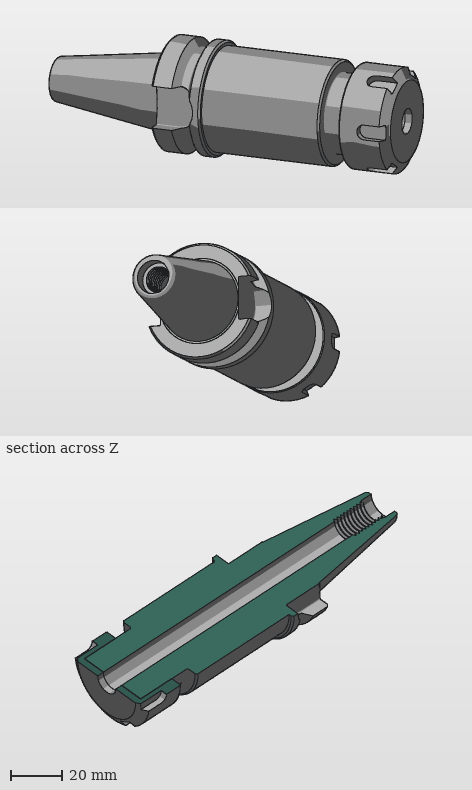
import cadquery as cq
import math


TAPER_RATE = 7 / 24
GAUGE_DIAMETER = 31.75
SHANK_LENGTH = 48.4
SHANK_TIP_RADIUS = 1.5

FLANGE_DIAMETER = 46.0
FLANGE_FACE_X = 0.8
FLANGE_END_X = 22.0
FLANGE_CHAMFER = 0.8
RELIEF_DIAMETER = 33.72
RELIEF_DEPTH = 0.2

GROOVE_CENTRE_X = 13.45
GROOVE_FLOOR_DIAMETER = 38.2
GROOVE_FLOOR_WIDTH = 3.5
GROOVE_FILLET = 0.5
GROOVE_FLANK_ANGLE = 30.0

KEYWAY_WIDTH = 17.0
KEYWAY_END_X = 19.0
KEYWAY_FLOOR_OFFSET = 16.3
KEYWAY_FILLET = 0.5

BODY_DIAMETER = 42.0
BODY_END_X = 71.7
BODY_CHAMFER = 0.8
NECK_DIAMETER = 32.0
NECK_FILLET = 0.5

NUT_START_X = 80.0
NUT_END_X = 100.0
NUT_DIAMETER = BODY_DIAMETER
NUT_BACK_CHAMFER = 0.4
NUT_NOSE_LENGTH = 2.9
NUT_NOSE_ANGLE = 60.0
NUT_NOSE_EDGE_CHAMFER = 0.4
NUT_FACE_THICKNESS = 3.0

SLOT_COUNT = 6
SLOT_WIDTH = 6.0
SLOT_START_X = 87.8
SLOT_FLOOR_OFFSET = 18.0

BORE_DIAMETER = 10.11
COUNTERBORE_DIAMETER = 13.1
COUNTERBORE_DEPTH = 5.5
THREAD_DIAMETER = 12.5
THREAD_PITCH = 1.75
THREAD_TURNS = 9
THREAD_FLANK_ANGLE = 30.0

SHANK_TIP_X = -SHANK_LENGTH
NECK_END_X = NUT_END_X - NUT_FACE_THICKNESS


def taper_radius(x):
    """Radius of the steep taper at a place along the axis."""
    return (GAUGE_DIAMETER + TAPER_RATE * x) / 2


def revolve_about_x(profile):
    """Turn a closed profile of (x, radius) about the X axis."""
    return profile.revolve(360, (0, 0, 0), (1, 0, 0))


def cylinder_along_x(diameter, start_x, end_x):
    disc = cq.Workplane("YZ").workplane(offset=start_x).circle(diameter / 2)
    return disc.extrude(end_x - start_x)


def round_ended_slot_cutter(start_x, end_x, width, floor_offset, outer_radius):
    """Cutter on the +Y side with a flat floor, a full round end at start_x and an open end at end_x."""
    direction = math.copysign(1, end_x - start_x)
    half_width = width / 2
    centre_x = start_x + direction * half_width
    outline = (
        cq.Workplane("XZ", origin=(0, floor_offset, 0))
        .moveTo(end_x, half_width)
        .lineTo(centre_x, half_width)
        .threePointArc((start_x, 0), (centre_x, -half_width))
        .lineTo(end_x, -half_width)
        .close()
    )
    return outline.extrude(-(outer_radius - floor_offset))


def groove_floor_edges():
    """Selector for the two circles where the V groove flanks meet its floor."""
    margin = 0.1
    half_length = GROOVE_FLOOR_WIDTH / 2 + margin
    half_height = GROOVE_FLOOR_DIAMETER / 2 + margin
    low_corner = (GROOVE_CENTRE_X - half_length, -half_height, -half_height)
    high_corner = (GROOVE_CENTRE_X + half_length, half_height, half_height)
    return cq.selectors.BoxSelector(low_corner, high_corner, boundingbox=True)


def make_holder_blank():
    flange_radius = FLANGE_DIAMETER / 2
    groove_radius = GROOVE_FLOOR_DIAMETER / 2
    body_radius = BODY_DIAMETER / 2
    relief_radius = RELIEF_DIAMETER / 2
    neck_radius = NECK_DIAMETER / 2

    floor_half = GROOVE_FLOOR_WIDTH / 2
    flank_run = (flange_radius - groove_radius) * math.tan(math.radians(GROOVE_FLANK_ANGLE))
    mouth_half = floor_half + flank_run
    relief_floor_x = FLANGE_FACE_X + RELIEF_DEPTH
    taper_angle = math.atan(TAPER_RATE / 2)
    tip_blend_x = SHANK_TIP_X + SHANK_TIP_RADIUS * (1 - math.sin(taper_angle))
    tip_flat_radius = taper_radius(tip_blend_x) - SHANK_TIP_RADIUS * math.cos(taper_angle)
    flange_step = flange_radius - FLANGE_CHAMFER

    profile = (
        cq.Workplane("XY")
        .moveTo(SHANK_TIP_X, 0)
        .lineTo(SHANK_TIP_X, tip_flat_radius)
        .radiusArc((tip_blend_x, taper_radius(tip_blend_x)), SHANK_TIP_RADIUS)
        .lineTo(relief_floor_x, taper_radius(relief_floor_x))
        .lineTo(relief_floor_x, relief_radius)
        .lineTo(FLANGE_FACE_X, relief_radius)
        .lineTo(FLANGE_FACE_X, flange_step)
        .lineTo(FLANGE_FACE_X + FLANGE_CHAMFER, flange_radius)
        .lineTo(GROOVE_CENTRE_X - mouth_half, flange_radius)
        .lineTo(GROOVE_CENTRE_X - floor_half, groove_radius)
        .lineTo(GROOVE_CENTRE_X + floor_half, groove_radius)
        .lineTo(GROOVE_CENTRE_X + mouth_half, flange_radius)
        .lineTo(FLANGE_END_X - FLANGE_CHAMFER, flange_radius)
        .lineTo(FLANGE_END_X, flange_step)
        .lineTo(FLANGE_END_X, body_radius)
        .lineTo(BODY_END_X - BODY_CHAMFER, body_radius)
        .lineTo(BODY_END_X, body_radius - BODY_CHAMFER)
        .lineTo(BODY_END_X, neck_radius + NECK_FILLET)
        .radiusArc((BODY_END_X + NECK_FILLET, neck_radius), -NECK_FILLET)
        .lineTo(NECK_END_X, neck_radius)
        .lineTo(NECK_END_X, 0)
        .close()
    )
    return revolve_about_x(profile).edges(groove_floor_edges()).fillet(GROOVE_FILLET)


def make_bore_cutter():
    """Through bore with a plain counterbore at the shank tip."""
    counterbore = cylinder_along_x(COUNTERBORE_DIAMETER, SHANK_TIP_X, SHANK_TIP_X + COUNTERBORE_DEPTH)
    return cylinder_along_x(BORE_DIAMETER, SHANK_TIP_X, NECK_END_X).union(counterbore)


def make_thread_groove(centre_x):
    """One ring-shaped V groove that stands for a turn of the pull stud thread."""
    bore_radius = BORE_DIAMETER / 2
    depth = (THREAD_DIAMETER - BORE_DIAMETER) / 2
    half_width = depth * math.tan(math.radians(THREAD_FLANK_ANGLE))
    profile = (
        cq.Workplane("XY")
        .moveTo(centre_x - half_width, 0)
        .lineTo(centre_x - half_width, bore_radius)
        .lineTo(centre_x, bore_radius + depth)
        .lineTo(centre_x + half_width, bore_radius)
        .lineTo(centre_x + half_width, 0)
        .close()
    )
    return revolve_about_x(profile)


def make_holder():
    holder = make_holder_blank()
    keyway = round_ended_slot_cutter(
        KEYWAY_END_X, SHANK_TIP_X, KEYWAY_WIDTH, KEYWAY_FLOOR_OFFSET, FLANGE_DIAMETER
    )
    keyway = keyway.faces("<Y").edges("not <X").fillet(KEYWAY_FILLET)
    holder = holder.cut(keyway).cut(keyway.mirror("XZ"))
    holder = holder.cut(make_bore_cutter())
    first_groove_x = SHANK_TIP_X + COUNTERBORE_DEPTH + THREAD_PITCH / 2
    for turn in range(THREAD_TURNS):
        holder = holder.cut(make_thread_groove(first_groove_x + turn * THREAD_PITCH))
    return holder


def make_nut():
    nut_radius = NUT_DIAMETER / 2
    nose_x = NUT_END_X - NUT_NOSE_LENGTH
    edge_x = NUT_END_X - NUT_NOSE_EDGE_CHAMFER
    nose_edge_radius = nut_radius - (edge_x - nose_x) * math.tan(math.radians(NUT_NOSE_ANGLE))
    profile = (
        cq.Workplane("XY")
        .moveTo(NUT_START_X, 0)
        .lineTo(NUT_START_X, nut_radius - NUT_BACK_CHAMFER)
        .lineTo(NUT_START_X + NUT_BACK_CHAMFER, nut_radius)
        .lineTo(nose_x, nut_radius)
        .lineTo(edge_x, nose_edge_radius)
        .lineTo(NUT_END_X, nose_edge_radius - NUT_NOSE_EDGE_CHAMFER)
        .lineTo(NUT_END_X, 0)
        .close()
    )
    nut = revolve_about_x(profile)
    nut = nut.cut(cylinder_along_x(NECK_DIAMETER, NUT_START_X, NECK_END_X))
    nut = nut.cut(cylinder_along_x(BORE_DIAMETER, NECK_END_X, NUT_END_X))
    slot = round_ended_slot_cutter(SLOT_START_X, NUT_END_X, SLOT_WIDTH, SLOT_FLOOR_OFFSET, NUT_DIAMETER)
    for index in range(SLOT_COUNT):
        nut = nut.cut(slot.rotate((0, 0, 0), (1, 0, 0), index * 360 / SLOT_COUNT))
    return nut


holder = make_holder()
nut = make_nut()

result = cq.Compound.makeCompound([holder.val(), nut.val()])